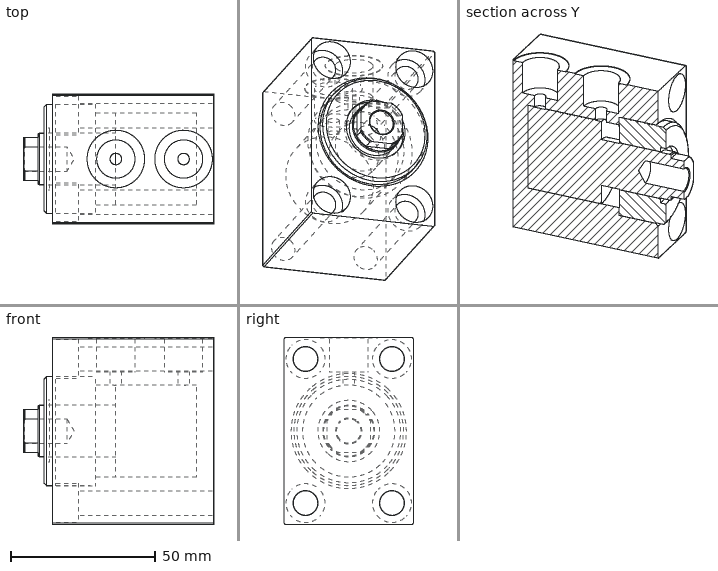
import cadquery as cq
import math


block_length = 56.0
block_width = 45.0
block_height = 65.0
edge_chamfer = 0.5

mount_spacing_y = 30.0
mount_spacing_z = 50.0
mount_diameter = 8.5
mount_head_diameter = 13.5
mount_head_depth = 9.0

port_positions = (22.0, 45.5)
port_diameter = 13.3
port_depth = 12.0
port_face_diameter = 20.0
port_face_depth = 0.2
oil_passage_diameter = 4.0

bore_diameter = 32.0
bore_end = 50.0
gland_diameter = 38.0
gland_seat_depth = 15.0
seat_chamfer = 1.0

gland_protrusion = 3.0
gland_chamfer = 1.0
wiper_recess_diameter = 21.4
wiper_recess_depth = 2.0

rod_diameter = 18.0
rod_protrusion = 10.0
piston_front = port_positions[0] - 0.2
neck_length = 5.0
neck_diameter = 17.1
flat_distance = 15.0
rod_chamfer_length = 0.5
rod_chamfer_angle = 30.0

socket_diameter = 8.5
socket_mouth_diameter = 9.1
socket_depth = 15.0
drill_point_angle = 118.0


def cylinder_along_x(start, end, diameter):
    return cq.Workplane("YZ", origin=(start, 0, 0)).circle(diameter / 2).extrude(end - start)


def cone_along_x(start, end, start_diameter, end_diameter):
    """Truncated cone on the X axis; an end diameter of zero gives a full cone."""
    solid = cq.Solid.makeCone(
        start_diameter / 2,
        end_diameter / 2,
        end - start,
        cq.Vector(start, 0, 0),
        cq.Vector(1, 0, 0),
    )
    return cq.Workplane(obj=solid)


def make_housing():
    block = (
        cq.Workplane("XY")
        .box(block_length, block_width, block_height, centered=(False, True, True))
        .edges("|X")
        .chamfer(edge_chamfer)
    )

    block = block.cut(cylinder_along_x(0, gland_seat_depth, gland_diameter))
    block = block.cut(cylinder_along_x(gland_seat_depth, bore_end, bore_diameter))
    block = block.cut(cone_along_x(0, seat_chamfer, gland_diameter + 2 * seat_chamfer, gland_diameter))

    block = (
        block.faces("<X")
        .workplane(origin=(0, 0, 0))
        .rect(mount_spacing_y, mount_spacing_z, forConstruction=True)
        .vertices()
        .cboreHole(mount_diameter, mount_head_diameter, mount_head_depth)
    )

    port_depths = (
        (port_face_diameter, port_face_depth),
        (port_diameter, port_depth),
        (oil_passage_diameter, block_height / 2),
    )
    for port_x in port_positions:
        for diameter, depth in port_depths:
            step = (
                cq.Workplane("XY", origin=(port_x, 0, block_height / 2))
                .circle(diameter / 2)
                .extrude(-depth)
            )
            block = block.cut(step)
    return block


def make_gland():
    gland = cylinder_along_x(-gland_protrusion, gland_seat_depth, gland_diameter)
    gland = gland.faces("<X").chamfer(gland_chamfer)
    rod_hole = cylinder_along_x(-gland_protrusion, gland_seat_depth, rod_diameter)
    wiper_recess = cylinder_along_x(
        -gland_protrusion,
        wiper_recess_depth - gland_protrusion,
        wiper_recess_diameter,
    )
    return gland.cut(rod_hole).cut(wiper_recess)


def make_piston_rod():
    tip = -rod_protrusion
    shoulder = tip + neck_length
    chamfer_height = rod_chamfer_length * math.tan(math.radians(rod_chamfer_angle))

    neck = cylinder_along_x(tip, shoulder, neck_diameter)
    neck = neck.faces("<X").chamfer(rod_chamfer_length, chamfer_height)
    square_bar = cq.Workplane("YZ", origin=(tip, 0, 0)).rect(flat_distance, flat_distance).extrude(neck_length)
    neck = neck.intersect(square_bar)

    rod = cylinder_along_x(shoulder, piston_front, rod_diameter)
    rod = rod.faces("<X").chamfer(rod_chamfer_length, chamfer_height)
    piston = cylinder_along_x(piston_front, bore_end, bore_diameter)
    rod = rod.union(neck).union(piston)

    socket_end = tip + socket_depth
    point_length = socket_diameter / 2 / math.tan(math.radians(drill_point_angle / 2))
    mouth_depth = (socket_mouth_diameter - socket_diameter) / 2
    rod = rod.cut(cylinder_along_x(tip, socket_end, socket_diameter))
    rod = rod.cut(cone_along_x(socket_end, socket_end + point_length, socket_diameter, 0))
    return rod.cut(cone_along_x(tip, tip + mouth_depth, socket_mouth_diameter, socket_diameter))


housing = make_housing()
gland = make_gland()
piston_rod = make_piston_rod()

result = cq.Compound.makeCompound([housing.val(), gland.val(), piston_rod.val()])